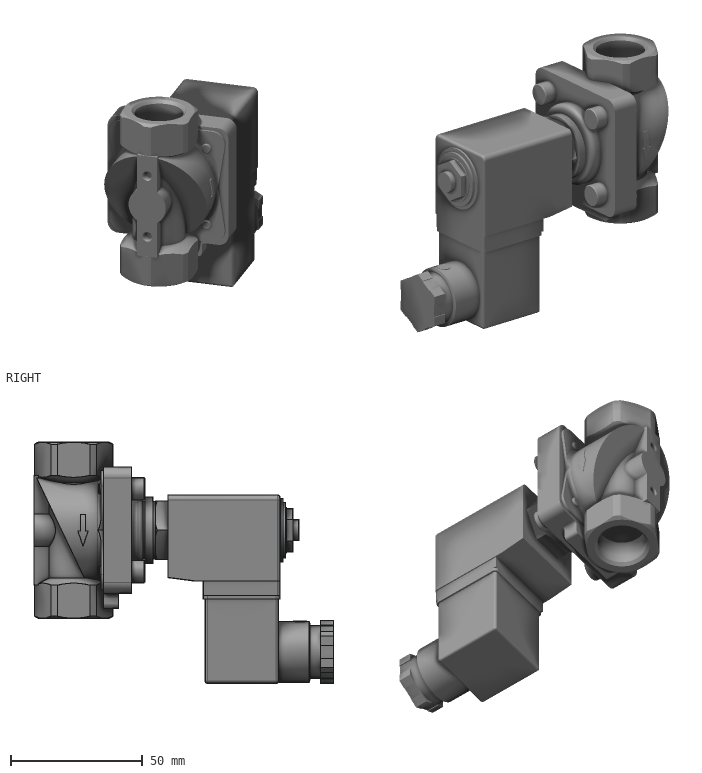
import cadquery as cq
import math


COS30 = math.cos(math.radians(30))
TAN30 = math.tan(math.radians(30))

port_axis_y = 15.1
port_top = 33.5
port_flats = 27.1
port_corner_radius = 14.9
port_face_radius = 13.4
tube_radius = 10.1
tube_half_length = 18.1
bore_diameter = 18.7
bore_mouth_diameter = 20.9
bore_depth = 12.2
bore_chamfer = (bore_mouth_diameter - bore_diameter) / 2

chamber_radius = 20.1
slant_top_y = 0.9
slant_bottom_y = 20.1
arrow_radius = 20.5
arrow_y = 18.7
arrow_half_length = 6.0
arrow_head_start = -0.3
arrow_shaft_width = 2.0
arrow_head_width = 3.9

bar_width = 8.0
bar_half_length = 20.7
bar_depth = 6.8
bar_boss_radius = 7.4
bar_hole_z = 12.5
bar_hole_diameter = 3.2
bar_hole_mouth = 3.9
bar_hole_depth = 4.5
drill_point_angle = 118.0

flange_size = 48.0
flange_corner_radius = 4.1
flange_front_y = 26.5
flange_back_y = 37.1
pad_front_y = 25.5
pad_half_height = 22.8
pad_half_width = 23.8
pad_corner_radius = 5.1
collar_front_y = 24.1
screw_pitch = 15.7
screw_head_diameter = 8.5
screw_head_back_y = 42.1
screw_head_chamfer = 0.3
screw_tip_diameter = 3.9
screw_tip_front_y = 24.6
screw_tip_chamfer = 0.3
tab_width = 26.9
tab_back_y = 32.2
tab_bottom = -29.7
tab_round = 1.4

bonnet_radius = 15.9
bonnet_round = 1.8
bonnet_back_y = 41.4
stem_collar_radius = 12.6
stem_collar_front_y = 42.1
stem_collar_back_y = 45.2
stem_neck_radius = 10.9
stem_hex_front_y = 46.2
stem_hex_face_radius = 11.8
stem_hex_flats = 22.3

coil_front_y = 50.9
coil_back_y = 93.4
coil_width = 30.2
coil_top = 13.4
coil_bottom = -19.3
coil_front_bottom = -18.0
coil_slope_end_y = 61.3
coil_edge_round = 2.0
coil_back_round = 1.0
neck_width = 29.2
neck_front_y = 64.3
neck_bottom = -24.7
washer_radius = 12.1
washer_front_y = 93.8
washer_back_y = 94.6
cover_radius = 10.6
cover_back_y = 95.6
spacer_radius = 8.6
spacer_back_y = 95.9
nut_flats = 14.2
nut_back_y = 98.3
stud_diameter = 8.0
stud_back_y = 100.6

plug_flange_bottom = -26.2
plug_flange_round = 1.6
plug_bottom = -58.2
plug_width = 27.8
plug_front_y = 65.0
plug_back_y = 92.9
plug_round = 1.0
gland_axis_z = -46.2
gland_radius = 11.6
gland_back_y = 104.8
gland_taper_length = 1.0
gland_taper_drop = 0.3
gland_neck_diameter = 20.3
cap_front_y = 108.8
cap_back_y = 113.8
cap_corner_radius = 12.0
cap_recess_width = 4.9
cap_recess_depth = 0.3
gland_spot_diameter = 5.0
gland_spot_y = 101.0
gland_spot_height = 0.1


def disc_y(radius, front_y, back_y, x=0.0, z=0.0):
    """Cylinder along Y between two Y positions."""
    return cq.Workplane("XZ", origin=(x, back_y, z)).circle(radius).extrude(back_y - front_y)


def hexagon_y(corner_radius, front_y, back_y, turn, z=0.0):
    """Hexagonal prism along Y; turn = 0 puts corners on the X direction, 30 on the Z direction."""
    prism = cq.Workplane("XZ", origin=(0, back_y, 0)).polygon(6, 2 * corner_radius)
    return prism.extrude(back_y - front_y).rotate((0, 0, 0), (0, 1, 0), turn).translate((0, 0, z))


def box_between(x_size, front_y, back_y, bottom, top):
    """Block centred on X = 0 between Y and Z limits."""
    block = cq.Workplane("XY").box(x_size, back_y - front_y, top - bottom)
    return block.translate((0, (front_y + back_y) / 2, (bottom + top) / 2))


def prism_x(points, width):
    """Outline of (y, z) points, extruded symmetrically across X = 0."""
    return cq.Workplane("YZ").polyline(points).close().extrude(width / 2, both=True)


def port_hexagon():
    """Upper port end: a hexagon turned conical at both ends."""
    inner_cone_end = tube_half_length + (port_corner_radius - tube_radius) * TAN30
    outer_cone_start = port_top - (port_corner_radius - port_face_radius) * TAN30
    turned = (
        cq.Workplane("XZ")
        .polyline([
            (0, tube_half_length),
            (tube_radius, tube_half_length),
            (port_corner_radius, inner_cone_end),
            (port_corner_radius, outer_cone_start),
            (port_face_radius, port_top),
            (0, port_top),
        ])
        .close()
        .revolve(360, (0, 0, 0), (0, 1, 0))
    )
    hexagon = (
        cq.Workplane("XY")
        .polygon(6, port_flats / COS30)
        .extrude(port_top)
        .rotate((0, 0, 0), (0, 0, 1), 30)
    )
    return turned.intersect(hexagon).translate((0, port_axis_y, 0))


def port_bore():
    """Blind bore of the upper port with a chamfered mouth."""
    bore = (
        cq.Workplane("XZ")
        .polyline([
            (0, port_top),
            (bore_mouth_diameter / 2, port_top),
            (bore_diameter / 2, port_top - bore_chamfer),
            (bore_diameter / 2, port_top - bore_depth),
            (0, port_top - bore_depth),
        ])
        .close()
        .revolve(360, (0, 0, 0), (0, 1, 0))
    )
    return bore.translate((0, port_axis_y, 0))


def chamber():
    """Chamber cylinder with its slanted front and a flow arrow on each side."""
    slanted_block = prism_x([
        (slant_top_y, chamber_radius),
        (flange_front_y, chamber_radius),
        (flange_front_y, -chamber_radius),
        (slant_bottom_y, -chamber_radius),
    ], 2 * chamber_radius)
    barrel = disc_y(chamber_radius, 0, flange_front_y).intersect(slanted_block)
    half_shaft = arrow_shaft_width / 2
    half_head = arrow_head_width / 2
    arrows = prism_x([
        (arrow_y - half_shaft, arrow_half_length),
        (arrow_y + half_shaft, arrow_half_length),
        (arrow_y + half_shaft, arrow_head_start),
        (arrow_y + half_head, arrow_head_start),
        (arrow_y, -arrow_half_length),
        (arrow_y - half_head, arrow_head_start),
        (arrow_y - half_shaft, arrow_head_start),
    ], 2 * arrow_radius)
    return barrel.union(arrows.intersect(disc_y(arrow_radius, 0, flange_front_y)))


def mounting_bar():
    """Flat bar with a round boss in the middle, reaching back to the tube."""
    bar = box_between(bar_width, 0, bar_depth, -bar_half_length, bar_half_length)
    return bar.union(disc_y(bar_boss_radius, 0, port_axis_y))


def bar_hole(z):
    """Blind drilled hole with a countersunk mouth and a drill point."""
    radius = bar_hole_diameter / 2
    mouth_radius = bar_hole_mouth / 2
    point_depth = radius / math.tan(math.radians(drill_point_angle / 2))
    return (
        cq.Workplane("XY")
        .polyline([
            (0, 0),
            (mouth_radius, 0),
            (radius, mouth_radius - radius),
            (radius, bar_hole_depth),
            (0, bar_hole_depth + point_depth),
        ])
        .close()
        .revolve(360, (0, 0, 0), (0, 1, 0))
        .translate((0, 0, z))
    )


def flange():
    """Square flange with waisted front pad, concave collar and a tab below."""
    plate = box_between(flange_size, flange_front_y, flange_back_y, -flange_size / 2, flange_size / 2)
    plate = plate.edges("|Y").fillet(flange_corner_radius)
    pad = (
        cq.Workplane("XZ", origin=(0, flange_front_y, 0))
        .polyline([
            (pad_half_width, pad_half_height),
            (-pad_half_width, pad_half_height),
            (-chamber_radius, 0),
            (-pad_half_width, -pad_half_height),
            (pad_half_width, -pad_half_height),
            (chamber_radius, 0),
        ])
        .close()
        .extrude(flange_front_y - collar_front_y)
    )
    pad = pad.edges("|Y").edges("<X or >X").fillet(pad_corner_radius)
    round_radius = pad_front_y - collar_front_y
    round_middle = round_radius * math.sin(math.radians(45))
    collar = (
        cq.Workplane("XY")
        .moveTo(0, collar_front_y)
        .lineTo(chamber_radius, collar_front_y)
        .threePointArc(
            (chamber_radius + round_radius - round_middle, collar_front_y + round_middle),
            (chamber_radius + round_radius, pad_front_y),
        )
        .lineTo(0, pad_front_y)
        .close()
        .revolve(360, (0, 0, 0), (0, 1, 0))
        .intersect(pad)
    )
    pad_layer = box_between(flange_size, pad_front_y, flange_front_y, -pad_half_height, pad_half_height)
    raised_pad = pad.intersect(pad_layer)
    tab = box_between(tab_width, flange_front_y, tab_back_y, tab_bottom, 0)
    tab = tab.edges("|Y and <Z").fillet(tab_round)
    tab_root = cq.selectors.BoxSelector(
        (-tab_width / 2 - 1.1, flange_front_y, -flange_size / 2 - tab_round),
        (tab_width / 2 + 1.1, flange_back_y, -flange_size / 2 + tab_round),
    )
    plate_with_tab = plate.union(tab)
    plate_with_tab = plate_with_tab.edges("|Y").edges(tab_root).fillet(tab_round)
    return plate_with_tab.union(raised_pad).union(collar)


def stem():
    """Rounded bonnet, collar, neck and hexagon leading to the coil."""
    bonnet = disc_y(bonnet_radius, flange_back_y, bonnet_back_y).faces(">Y").edges().fillet(bonnet_round)
    collar = disc_y(stem_collar_radius, stem_collar_front_y, stem_collar_back_y)
    neck = disc_y(stem_neck_radius, flange_back_y, stem_hex_front_y)
    corner_radius = stem_hex_flats / 2 / COS30
    hexagon = hexagon_y(corner_radius, stem_hex_front_y, coil_front_y, 0)
    cone_height = (corner_radius - stem_hex_face_radius) * TAN30
    turned = (
        cq.Workplane("XY")
        .polyline([
            (0, stem_hex_front_y),
            (stem_hex_face_radius, stem_hex_front_y),
            (corner_radius, stem_hex_front_y + cone_height),
            (corner_radius, coil_front_y),
            (0, coil_front_y),
        ])
        .close()
        .revolve(360, (0, 0, 0), (0, 1, 0))
    )
    return bonnet.union(collar).union(neck).union(hexagon.intersect(turned))


def screw(x, z):
    """Flange screw: chamfered head behind the flange and chamfered tip in front of the pad."""
    head = disc_y(screw_head_diameter / 2, flange_back_y, screw_head_back_y, x, z)
    head = head.faces(">Y").edges().chamfer(screw_head_chamfer)
    shank = disc_y(screw_tip_diameter / 2, screw_tip_front_y, flange_back_y, x, z)
    return head.union(shank.faces("<Y").edges().chamfer(screw_tip_chamfer))


def make_valve():
    """Valve: ports, chamber, mounting bar, flange, screws and stem."""
    upper_port = port_hexagon()
    lower_port = upper_port.mirror("XY")
    tube = cq.Workplane("XY", origin=(0, port_axis_y, 0)).circle(tube_radius)
    tube = tube.extrude(tube_half_length, both=True)
    valve = chamber().union(flange()).union(tube).union(upper_port).union(lower_port)
    valve = valve.union(mounting_bar()).union(stem())
    for x in (-screw_pitch, screw_pitch):
        for z in (-screw_pitch, screw_pitch):
            valve = valve.union(screw(x, z))
    upper_bore = port_bore()
    valve = valve.cut(upper_bore).cut(upper_bore.mirror("XY"))
    for z in (-bar_hole_z, bar_hole_z):
        valve = valve.cut(bar_hole(z))
    return valve


def make_coil():
    """Coil: block with a sloped underside, connector neck, washers, nut and stud."""
    block = prism_x([
        (coil_front_y, coil_top),
        (coil_back_y, coil_top),
        (coil_back_y, coil_bottom),
        (coil_slope_end_y, coil_bottom),
        (coil_front_y, coil_front_bottom),
    ], coil_width)
    block = block.faces(">Z").edges("|Y").fillet(coil_edge_round)
    block = block.faces(">Y").edges("not <Z").fillet(coil_back_round)
    neck = box_between(neck_width, neck_front_y, coil_back_y, neck_bottom, coil_bottom)
    neck = neck.edges("|Z and >Y").fillet(coil_back_round)
    coil = block.union(neck)
    coil = coil.union(disc_y(washer_radius, washer_front_y, washer_back_y))
    coil = coil.union(disc_y(cover_radius, coil_back_y, cover_back_y))
    coil = coil.union(disc_y(spacer_radius, cover_back_y, spacer_back_y))
    coil = coil.union(hexagon_y(nut_flats / 2 / COS30, spacer_back_y, nut_back_y, 30))
    return coil.union(disc_y(stud_diameter / 2, nut_back_y, stud_back_y))


def gland_cap():
    """Hexagonal cap with a shallow recess across the middle of every flat."""
    cap = hexagon_y(cap_corner_radius, cap_front_y, cap_back_y, 30)
    flat_distance = cap_corner_radius * COS30
    cutter = box_between(2 * cap_recess_depth, cap_front_y, cap_back_y, -cap_recess_width / 2, cap_recess_width / 2)
    cutter = cutter.translate((flat_distance, 0, 0))
    for side in range(6):
        cap = cap.cut(cutter.rotate((0, 0, 0), (0, 1, 0), 60 * side))
    return cap.translate((0, 0, gland_axis_z))


def make_plug():
    """Connector plug: flange, rounded housing and cable gland with its cap."""
    flange_plate = box_between(neck_width, neck_front_y, coil_back_y, plug_flange_bottom, neck_bottom)
    flange_plate = flange_plate.edges("|Z").fillet(plug_flange_round)
    housing = box_between(plug_width, plug_front_y, plug_back_y, plug_bottom, plug_flange_bottom)
    housing = housing.edges("|Z or <Z").fillet(plug_round)
    gland = disc_y(gland_radius, plug_front_y + plug_round, gland_back_y, 0, gland_axis_z)
    gland = gland.faces(">Y").edges().chamfer(gland_taper_drop, gland_taper_length)
    gland_neck = disc_y(gland_neck_diameter / 2, gland_back_y, cap_front_y, 0, gland_axis_z)
    spot = cq.Workplane("XY", origin=(0, gland_spot_y, gland_axis_z)).circle(gland_spot_diameter / 2)
    spot = spot.extrude(gland_radius + gland_spot_height)
    return flange_plate.union(housing).union(gland).union(gland_neck).union(gland_cap()).union(spot)


valve = make_valve()
coil = make_coil()
plug = make_plug()

result = cq.Compound.makeCompound([valve.val(), coil.val(), plug.val()])